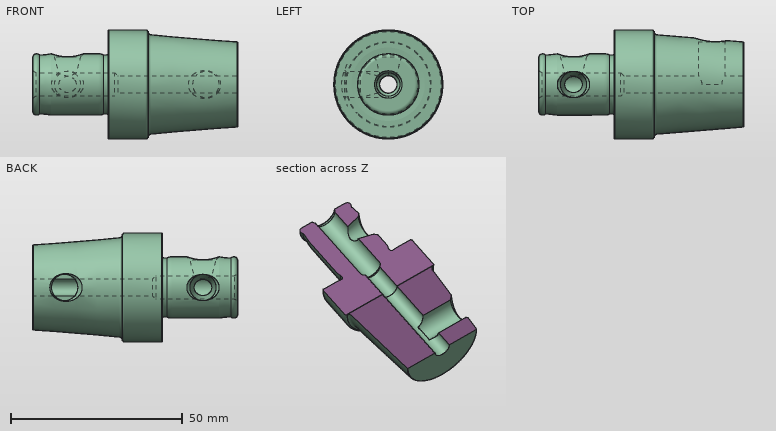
import cadquery as cq
import math

total_length = 60.0
split_x = 33.65
bore_radius = 2.5

shank_radius = 9.0
neck_radius = 8.65
rim_round = 1.2
rim_back_x = 1.7
rim_back_angle = math.asin((rim_back_x - rim_round) / rim_round)
rim_slope_end_x = 2.05
rim_slope_end_radius = 8.7
waist_x = 2.4
land_start_x = 5.45
land_end_x = 19.4
relief_start_x = 20.75
relief_round = 2.7
undercut_start_x = 21.55

collar_diameter = 32.0
collar_radius = collar_diameter / 2
collar_x = 21.95
collar_chamfer_length = 0.3
collar_chamfer_depth = 0.3
collar_back_round = 0.55
undercut_radius = 10.75
undercut_round = 0.55
undercut_edge_radius = neck_radius + undercut_round

inlet_radius = 3.4
inlet_chamfer_depth = 0.6
inlet_chamfer_length = 1.0
inlet_depth = 24.0
inlet_cone_length = 0.9

nose_flange_radius = collar_radius - collar_back_round
nose_flange_thickness = 0.2
nose_fillet = 0.9
taper_start_x = split_x + nose_flange_thickness + nose_fillet
taper_start_radius = nose_flange_radius - nose_fillet
tip_radius = 12.5
tip_chamfer = 0.2

cross_hole_radius = 3.85
countersink_excess = 2.4
seat_half_angle = 15.0
shank_hole_x = 10.2
shank_countersink_height = 8.1
nose_hole_x = 50.65
nose_countersink_height = 12.35


def revolve_about_x(profile):
    return profile.close().revolve(360, (0, 0, 0), (1, 0, 0))


def point_on_arc(center_x, center_radius, arc_radius, angle):
    """Point at an angle in degrees, measured from +X towards increasing radius."""
    turn = math.radians(angle)
    return (center_x + arc_radius * math.cos(turn), center_radius + arc_radius * math.sin(turn))


def make_cross_cutter(x, countersink_height, bottom_height, bottom_radius):
    """Cutter along +Z: 90 degree countersink above a straight or tapered hole."""
    top_height = countersink_height + countersink_excess
    return (
        cq.Workplane("XZ")
        .moveTo(0, bottom_height)
        .lineTo(bottom_radius, bottom_height)
        .lineTo(cross_hole_radius, countersink_height)
        .lineTo(cross_hole_radius + countersink_excess, top_height)
        .lineTo(0, top_height)
        .close()
        .revolve(360, (0, 0, 0), (0, 1, 0))
        .translate((x, 0, 0))
    )


def turn_to_y(cutter):
    """Swing a cutter from the +Z side to the +Y side."""
    return cutter.rotate((0, 0, 0), (1, 0, 0), -90)


def make_holder_blank():
    rim_center_radius = shank_radius - rim_round
    profile = (
        cq.Workplane("XY")
        .lineTo(0, rim_center_radius)
        .threePointArc(
            (rim_round, shank_radius),
            point_on_arc(rim_round, rim_center_radius, rim_round, 90 - math.degrees(rim_back_angle)),
        )
        .lineTo(rim_slope_end_x, rim_slope_end_radius)
        .lineTo(waist_x, neck_radius)
        .lineTo(land_start_x, shank_radius)
        .lineTo(land_end_x, shank_radius)
        .radiusArc((relief_start_x, neck_radius), relief_round)
        .lineTo(undercut_start_x, neck_radius)
        .threePointArc(
            point_on_arc(undercut_start_x, undercut_edge_radius, undercut_round, -45),
            (undercut_start_x + undercut_round, undercut_edge_radius),
        )
        .lineTo(collar_x, undercut_radius)
        .lineTo(collar_x, collar_radius - collar_chamfer_depth)
        .lineTo(collar_x + collar_chamfer_length, collar_radius)
        .lineTo(split_x - collar_back_round, collar_radius)
        .threePointArc(
            point_on_arc(split_x - collar_back_round, nose_flange_radius, collar_back_round, 45),
            (split_x, nose_flange_radius),
        )
        .lineTo(split_x, 0)
    )
    return revolve_about_x(profile)


def make_inlet_bore():
    profile = (
        cq.Workplane("XY")
        .lineTo(0, inlet_radius + inlet_chamfer_depth)
        .lineTo(inlet_chamfer_length, inlet_radius)
        .lineTo(inlet_depth, inlet_radius)
        .lineTo(inlet_depth + inlet_cone_length, bore_radius)
        .lineTo(split_x, bore_radius)
        .lineTo(split_x, 0)
    )
    return revolve_about_x(profile)


def make_holder():
    seat_end_radius = cross_hole_radius - shank_countersink_height * math.tan(math.radians(seat_half_angle))
    seat_cutter = make_cross_cutter(shank_hole_x, shank_countersink_height, 0, seat_end_radius)
    holder = make_holder_blank().cut(make_inlet_bore())
    return holder.cut(seat_cutter).cut(turn_to_y(seat_cutter))


def make_nose():
    fillet_start_x = split_x + nose_flange_thickness
    profile = (
        cq.Workplane("XY")
        .moveTo(split_x, bore_radius)
        .lineTo(split_x, nose_flange_radius)
        .lineTo(fillet_start_x, nose_flange_radius)
        .threePointArc(
            point_on_arc(taper_start_x, nose_flange_radius, nose_fillet, 225),
            (taper_start_x, taper_start_radius),
        )
        .lineTo(total_length - tip_chamfer, tip_radius)
        .lineTo(total_length, tip_radius - tip_chamfer)
        .lineTo(total_length, bore_radius)
    )
    side_hole = make_cross_cutter(nose_hole_x, nose_countersink_height, 0, cross_hole_radius)
    return revolve_about_x(profile).cut(turn_to_y(side_hole))


holder = make_holder()
nose = make_nose()

result = cq.Compound.makeCompound([holder.val(), nose.val()])